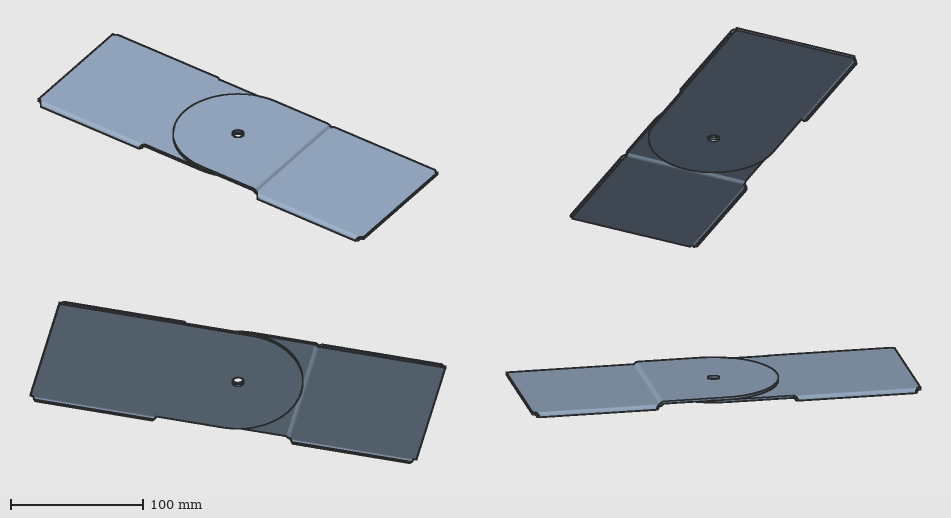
import cadquery as cq
import math

TOTAL_LENGTH = 300.0
TOTAL_WIDTH = 105.5
SHEET = 2.0
PLATE_WIDTH = 98.5
JOGGLE_INNER_BEND = 1.2
FLANGE_ANGLE = math.radians(85)
HOLE_DIAMETER = 9.0
JOGGLE_START = 48.3
FLANGE_INNER_X = 52.0
FLANGE_OUTER_GAP = 1.8
FLANGE_END_TAPER = 2.85

HALF_LENGTH = TOTAL_LENGTH / 2
HALF_WIDTH = PLATE_WIDTH / 2
JOGGLE_OUTER_BEND = JOGGLE_INNER_BEND + SHEET
FLANGE_REACH = (TOTAL_WIDTH - PLATE_WIDTH) / 2
FLANGE_OUTER_BEND = FLANGE_REACH / math.sin(FLANGE_ANGLE)
FLANGE_INNER_BEND = FLANGE_OUTER_BEND - SHEET
FLANGE_OUTER_X = HALF_LENGTH - FLANGE_OUTER_GAP
COS_45 = math.sqrt(0.5)
SIN_HALF = math.sin(math.radians(22.5))
COS_HALF = math.cos(math.radians(22.5))
CUT_DEPTH = 5 * SHEET


def make_flange():
    """Flange curved down along the +Y edge, on the +X half of the part."""
    center_z = SHEET - FLANGE_OUTER_BEND

    def on_bend(radius, angle):
        return HALF_WIDTH + radius * math.sin(angle), center_z + radius * math.cos(angle)

    section = (
        cq.Workplane("YZ")
        .moveTo(HALF_WIDTH, 0)
        .lineTo(HALF_WIDTH, SHEET)
        .threePointArc(on_bend(FLANGE_OUTER_BEND, FLANGE_ANGLE / 2), on_bend(FLANGE_OUTER_BEND, FLANGE_ANGLE))
        .lineTo(*on_bend(FLANGE_INNER_BEND, FLANGE_ANGLE))
        .threePointArc(on_bend(FLANGE_INNER_BEND, FLANGE_ANGLE / 2), (HALF_WIDTH, 0))
        .close()
        .extrude(HALF_LENGTH)
    )
    tapered_plan = (
        cq.Workplane("XY")
        .workplane(offset=-CUT_DEPTH / 2)
        .polyline([
            (FLANGE_INNER_X, HALF_WIDTH),
            (FLANGE_OUTER_X, HALF_WIDTH),
            (FLANGE_OUTER_X - FLANGE_END_TAPER, HALF_WIDTH + FLANGE_REACH),
            (FLANGE_INNER_X + FLANGE_END_TAPER, HALF_WIDTH + FLANGE_REACH),
        ])
        .close()
        .extrude(CUT_DEPTH)
    )
    return section.intersect(tapered_plan)


def add_flanges(plate):
    """Add a flange to both long edges of a plate's +X half."""
    flange = make_flange()
    return plate.union(flange).union(flange.mirror("XZ"))


def make_round_end(end_x):
    """Flat plate with a semicircular end at -X, running to end_x."""
    return (
        cq.Workplane("XY")
        .moveTo(end_x, -HALF_WIDTH)
        .lineTo(0, -HALF_WIDTH)
        .threePointArc((-HALF_WIDTH, 0), (0, HALF_WIDTH))
        .lineTo(end_x, HALF_WIDTH)
        .close()
        .extrude(SHEET)
    )


def cut_pivot_hole(plate):
    hole = cq.Workplane("XY").circle(HOLE_DIAMETER / 2).extrude(CUT_DEPTH, both=True)
    return plate.cut(hole)


def make_joggled_sheet():
    """Sheet that steps down one thickness through two opposite 45 degree bends."""
    upper_z = 2 * SHEET
    first_center_z = upper_z - JOGGLE_OUTER_BEND
    second_center_z = SHEET + JOGGLE_INNER_BEND
    bends_radius = JOGGLE_INNER_BEND + JOGGLE_OUTER_BEND
    slope_run = SHEET - bends_radius * (1 - COS_45)
    joggle_end = JOGGLE_START + bends_radius * COS_45 + slope_run

    def first_bend(radius, sine, cosine):
        return JOGGLE_START + radius * sine, first_center_z + radius * cosine

    def second_bend(radius, sine, cosine):
        return joggle_end - radius * sine, second_center_z - radius * cosine

    return (
        cq.Workplane("XZ")
        .moveTo(JOGGLE_START, SHEET)
        .lineTo(JOGGLE_START, upper_z)
        .threePointArc(
            first_bend(JOGGLE_OUTER_BEND, SIN_HALF, COS_HALF),
            first_bend(JOGGLE_OUTER_BEND, COS_45, COS_45),
        )
        .lineTo(*second_bend(JOGGLE_INNER_BEND, COS_45, COS_45))
        .threePointArc(second_bend(JOGGLE_INNER_BEND, SIN_HALF, COS_HALF), (joggle_end, SHEET))
        .lineTo(HALF_LENGTH, SHEET)
        .lineTo(HALF_LENGTH, 0)
        .lineTo(joggle_end, 0)
        .threePointArc(
            second_bend(JOGGLE_OUTER_BEND, SIN_HALF, COS_HALF),
            second_bend(JOGGLE_OUTER_BEND, COS_45, COS_45),
        )
        .lineTo(*first_bend(JOGGLE_INNER_BEND, COS_45, COS_45))
        .threePointArc(first_bend(JOGGLE_INNER_BEND, SIN_HALF, COS_HALF), (JOGGLE_START, SHEET))
        .close()
        .extrude(HALF_WIDTH, both=True)
    )


def make_upper_plate():
    """Plate whose round end lies on the lower plate, with its far end stepped down level."""
    round_end = make_round_end(JOGGLE_START).translate((0, 0, SHEET))
    plate = round_end.union(make_joggled_sheet())
    return cut_pivot_hole(add_flanges(plate))


def make_lower_plate(upper_plate):
    """Flat plate, turned half round, with its round tip relieved under the joggle bend."""
    plate = cut_pivot_hole(add_flanges(make_round_end(HALF_LENGTH)))
    return plate.rotate((0, 0, 0), (0, 0, 1), 180).cut(upper_plate)


upper_plate = make_upper_plate()
lower_plate = make_lower_plate(upper_plate)

result = cq.Compound.makeCompound([lower_plate.solids().val(), upper_plate.solids().val()])